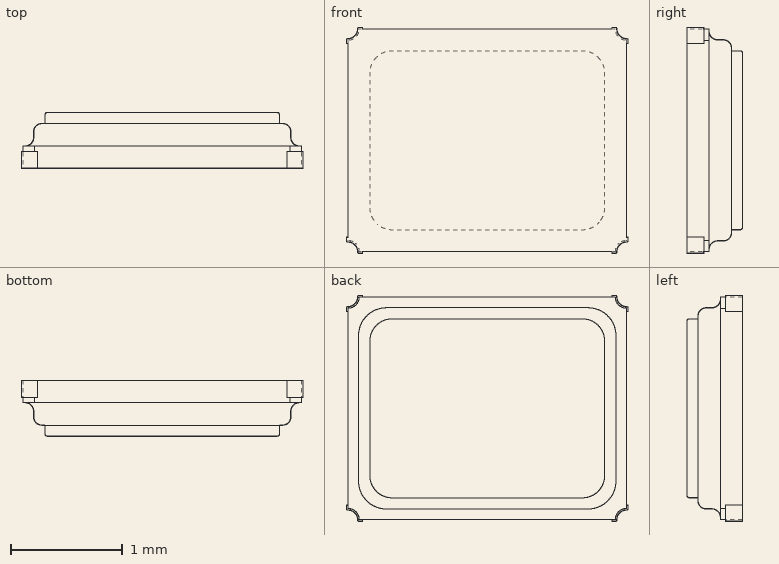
import cadquery as cq
import math

overall_x = 2.52
overall_z = 2.02
plating = 0.015
base_x = overall_x - 2 * plating
base_z = overall_z - 2 * plating

overall_y = 0.5
base_y = 0.2
ring_top_y = 0.4
terminal_y = 0.15

ring_x = 2.3
ring_z = 1.8
ring_corner = 0.25
ring_fillet = 0.075

lid_x = 2.1
lid_z = 1.6
lid_corner = 0.2
lid_edge_fillet = 0.023

notch_radius = 0.1
terminal_length = 0.145

mount_y = -overall_y / 2
tolerance = 0.003


def block(size_x, size_z, start, height):
    """Centred rectangular block starting `start` above the mounting face."""
    return cq.Workplane("XY").box(size_x, height, size_z).translate((0, mount_y + start + height / 2, 0))


def make_base():
    """Base plate with a round notch in each corner."""
    notches = (
        cq.Workplane("XZ", origin=(0, mount_y, 0))
        .rect(base_x, base_z, forConstruction=True)
        .vertices()
        .circle(notch_radius)
        .extrude(-base_y)
    )
    return block(base_x, base_z, 0, base_y).cut(notches)


def make_terminal():
    """Plating that lines the notch at the -X, -Z corner, with rounded tips."""
    bore = notch_radius - plating
    reach = terminal_length - plating
    diagonal = math.sqrt(0.5)
    tip_near = notch_radius - plating * diagonal
    tip_far = -plating * diagonal
    return (
        cq.Workplane("XZ", origin=(-base_x / 2, mount_y, -base_z / 2))
        .moveTo(-plating, reach)
        .lineTo(-plating, notch_radius)
        .threePointArc((tip_far, tip_near), (0, bore))
        .threePointArc((bore * diagonal, bore * diagonal), (bore, 0))
        .threePointArc((tip_near, tip_far), (notch_radius, -plating))
        .lineTo(reach, -plating)
        .lineTo(reach, reach)
        .close()
        .extrude(-terminal_y)
    )


def make_terminals():
    """The same terminal mirrored into all four corners."""
    corner = make_terminal()
    pair = corner.union(corner.mirror("YZ"))
    return pair.union(pair.mirror("XY"))


def make_ring():
    """Seal ring with a rounded top edge and a concave flare where it meets the base."""
    ring = block(ring_x, ring_z, base_y, ring_top_y - base_y)
    ring = ring.edges("|Y").fillet(ring_corner)
    return ring.faces(">Y").edges().fillet(ring_fillet)


def make_lid():
    """Flat lid with rounded corners and a softened top edge."""
    lid = block(lid_x, lid_z, ring_top_y, overall_y - ring_top_y)
    lid = lid.edges("|Y").fillet(lid_corner)
    return lid.faces(">Y").edges().fillet(lid_edge_fillet)


def add_flare(body):
    """Concave fillet around the foot of the ring."""
    foot = cq.selectors.BoxSelector(
        (-ring_x / 2 - tolerance, mount_y + base_y - tolerance, -ring_z / 2 - tolerance),
        (ring_x / 2 + tolerance, mount_y + base_y + tolerance, ring_z / 2 + tolerance),
        boundingbox=True,
    )
    return body.edges(foot).fillet(ring_fillet)


body = add_flare(make_base().union(make_ring()))
result = body.union(make_lid()).union(make_terminals())